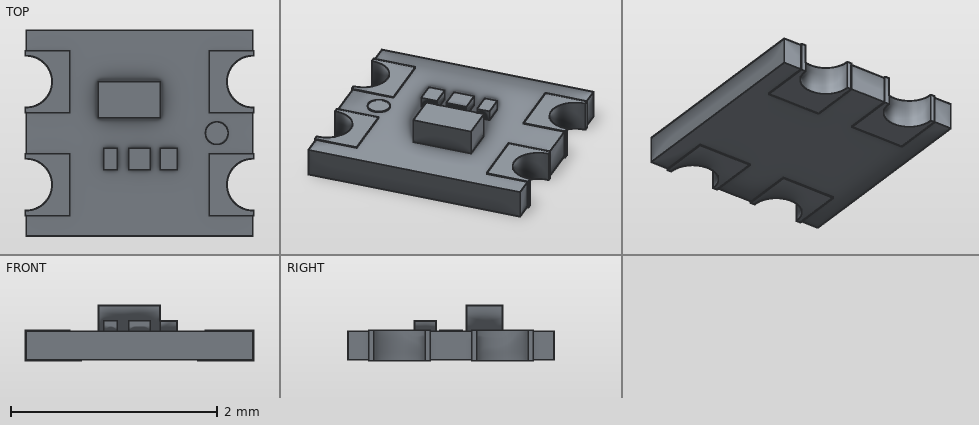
import cadquery as cq

board_length = 2.20
board_width = 2.00
board_thickness = 0.28

plating = 0.01
terminal_width = 0.60
terminal_pitch = 1.00
notch_radius = 0.25
top_pad_inner_x = 0.675
bottom_pad_inner_x = 0.565

chip_length = 0.60
chip_width = 0.35
chip_height = 0.25
chip_center = (-0.10, 0.325)

die_width = 0.21
die_height = 0.10
die_row_y = -0.25
dies = [(-0.28, 0.13), (0.0, 0.21), (0.2825, 0.165)]

marker_diameter = 0.22
marker_height = plating
marker_x = 0.75

board_bottom = plating
board_top = board_bottom + board_thickness
overall_thickness = board_top + plating
board_end_x = board_length / 2
terminal_end_x = board_end_x + plating
terminal_places = [
    (end, row * terminal_pitch / 2) for end in (-1, 1) for row in (-1, 1)
]


def block(length, width, height, center, bottom):
    """Rectangular block standing on the level `bottom`."""
    return (
        cq.Workplane("XY")
        .workplane(offset=bottom)
        .center(*center)
        .rect(length, width)
        .extrude(height)
    )


def terminal_layer(end, y, inner_x, bottom, height):
    """Block from inner_x out to the plated end face, on the end given by the sign `end`."""
    length = terminal_end_x - inner_x
    center_x = end * (terminal_end_x + inner_x) / 2
    return block(length, terminal_width, height, (center_x, y), bottom)


def terminal(end, y):
    """Top pad, bottom pad and end plating of one terminal."""
    top_pad = terminal_layer(end, y, top_pad_inner_x, board_top, plating)
    bottom_pad = terminal_layer(end, y, bottom_pad_inner_x, 0, plating)
    end_plating = terminal_layer(end, y, board_end_x, 0, overall_thickness)
    return top_pad.union(bottom_pad).union(end_plating)


def notch(end, y):
    """Half-round notch, running straight out from the board end through the plating."""
    round_part = (
        cq.Workplane("XY")
        .center(end * board_end_x, y)
        .circle(notch_radius)
        .extrude(overall_thickness)
    )
    mouth_center = (end * (board_end_x + plating / 2), y)
    mouth = block(plating, 2 * notch_radius, overall_thickness, mouth_center, 0)
    return round_part.union(mouth)


def marker():
    """Thin round polarity mark."""
    return (
        cq.Workplane("XY")
        .workplane(offset=board_top)
        .center(marker_x, 0)
        .circle(marker_diameter / 2)
        .extrude(marker_height)
    )


result = block(board_length, board_width, board_thickness, (0, 0), board_bottom)
for end, y in terminal_places:
    result = result.union(terminal(end, y)).cut(notch(end, y))

result = result.union(block(chip_length, chip_width, chip_height, chip_center, board_top))
for die_x, die_length in dies:
    result = result.union(block(die_length, die_width, die_height, (die_x, die_row_y), board_top))
result = result.union(marker())